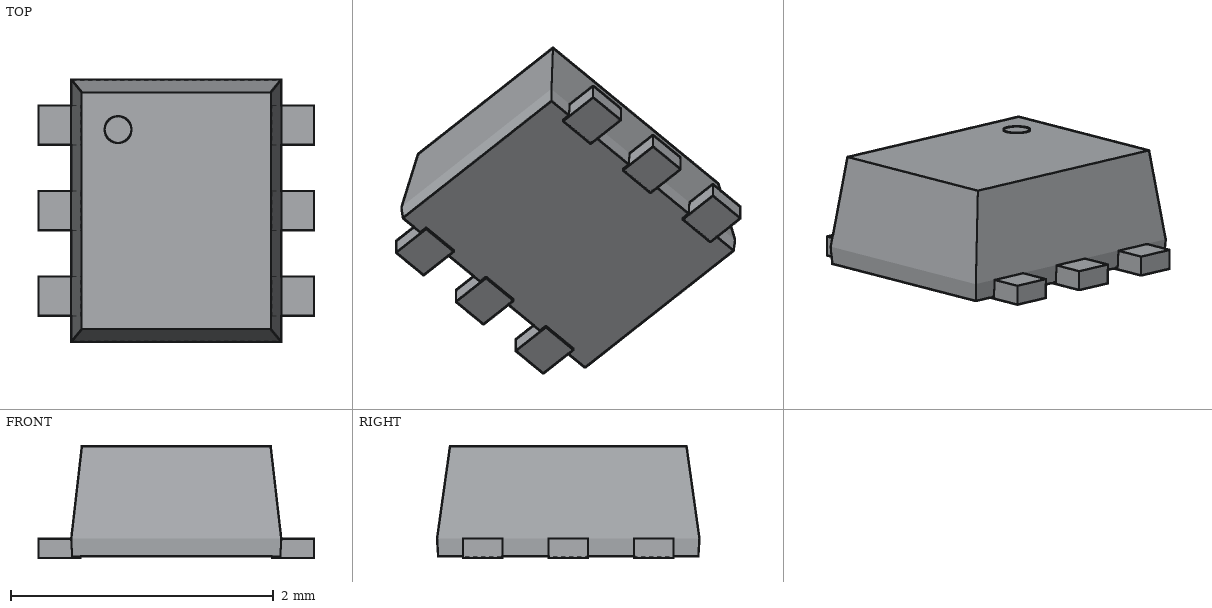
import cadquery as cq

lead_span = 2.1
body_length = 2.0
body_top = 0.853

lead_width = 0.3
lead_length = 0.321
lead_thickness = 0.15
lead_pitch = 0.65
leads_per_side = 3

body_width = 1.6
top_width = 1.438
top_length = 1.802
bottom_width = 1.583
bottom_length = 1.982
standoff = 0.015
parting_height = lead_thickness

mark_diameter = 0.204
mark_depth = 0.005
mark_x = -0.443
mark_y = 0.617


def tapered_block(z_start, start_size, z_end, end_size):
    """Loft between two centred rectangles, each given as (X size, Y size)."""
    return (
        cq.Workplane("XY", origin=(0, 0, z_start))
        .rect(*start_size)
        .workplane(offset=z_end - z_start)
        .rect(*end_size)
        .loft(ruled=True)
    )


def make_body():
    parting_size = (body_width, body_length)
    lower = tapered_block(standoff, (bottom_width, bottom_length), parting_height, parting_size)
    upper = tapered_block(parting_height, parting_size, body_top, (top_width, top_length))
    return lower.union(upper)


def make_leads():
    """Flat leads in a row along each long side, partly embedded in the body."""
    column_spacing = lead_span - lead_length
    return (
        cq.Workplane("XY")
        .rarray(column_spacing, lead_pitch, 2, leads_per_side)
        .rect(lead_length, lead_width)
        .extrude(lead_thickness)
    )


def make_pin_mark():
    return (
        cq.Workplane("XY", origin=(mark_x, mark_y, body_top))
        .circle(mark_diameter / 2)
        .extrude(-mark_depth)
    )


result = make_body().union(make_leads()).cut(make_pin_mark())